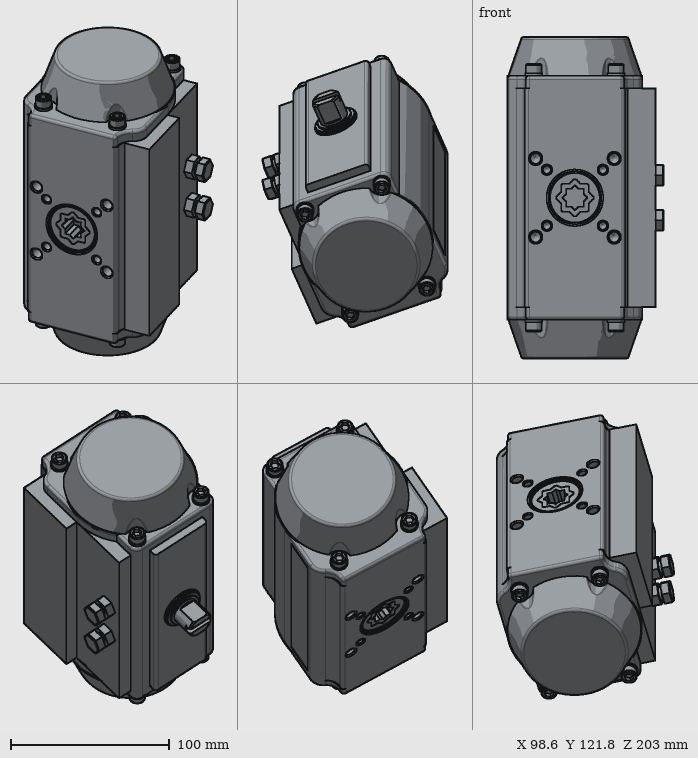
import cadquery as cq
import math


length = 203.0
depth_with_stem = 121.8
cover_face_z = 77.0
extrusion_end_z = 69.0

barrel_radius = 42.6
bore_radius = 37.4
back_y = 45.7
front_y = -51.4
shoulder_half_width = 33.0
shoulder_fillet = 5.5
foot_half_width = 31.7
foot_fillet = 2.2
cover_inset = 0.6
cheek_start_y = -30.7
cheek_radius = 10.0
waist_radius = 9.1

cover_edge_fillet = 2.0
dome_skirt_gap = 0.05
dome_skirt_radius = barrel_radius - dome_skirt_gap
dome_base_radius = 42.0
dome_top_radius = 33.5
dome_edge_fillet = 2.0
pocket_radius = 8.5
pocket_edge_fillet = 0.8

screw_x = 26.0
screw_y = 38.8
washer_diameter = 11.0
washer_height = 1.6
screw_head_diameter = 10.0
screw_head_top_z = 84.5
screw_rim_chamfer = 0.8
screw_socket_flats = 5.0
screw_socket_depth = 3.0

pad_half_width = 21.3
pad_face_y = 51.2
pad_fillet = 2.2
collar_steps = ((14.0, 1.2), (13.2, 1.2), (11.2, 1.2))
stem_diameter = 18.0
stem_end_y = front_y + depth_with_stem
stem_flats = 14.2
stem_flats_start_y = 56.5
stem_chamfer = 1.0
stem_slot_width = 4.0
stem_slot_depth = 4.5

recess_steps = ((17.9, 0.6), (16.6, 1.2), (15.6, 1.8))
insert_square = 17.5
insert_tip_radius = 11.8
insert_mark_depth = 0.2
socket_square = 11.2

mounting_holes = ((24.8, 6.7, 8.5, 12.2), (17.7, 5.0, 6.7, 10.2))
drill_tip_half_angle = 59.0

block_inner_x = 33.5
block_step_x = 42.6
block_outer_x = 51.0
block_top_y = 41.0
block_step_y = -1.2
block_bottom_y = -43.6
fitting_y = 29.6
fitting_z = 14.2
fitting_flats = 13.0
fitting_neck_diameter = 8.1
fitting_chamfer = 0.6
fitting_nut_end_x = 48.1
fitting_head_start_x = 50.3
fitting_end_x = 56.0

label_depth = 0.2
label_front_y = -27.8
label_back_y = -8.1

half_length = length / 2


def body_section(inset):
    """Closed cross-section; inset narrows the foot."""
    shoulder = shoulder_half_width
    foot = foot_half_width - inset
    waist = waist_radius + inset
    shoulder_end_y = math.sqrt(barrel_radius**2 - shoulder**2)
    half_angle = math.atan2(shoulder_end_y, shoulder) / 2
    barrel_mid = (barrel_radius * math.cos(half_angle), barrel_radius * math.sin(half_angle))

    cheek_x = barrel_radius - cheek_radius
    waist_x = foot + waist
    centre_distance = cheek_radius + waist
    lean = math.acos((waist_x - cheek_x) / centre_distance)
    waist_y = cheek_start_y - centre_distance * math.sin(lean)

    def cheek_point(angle):
        return (cheek_x + cheek_radius * math.cos(angle), cheek_start_y - cheek_radius * math.sin(angle))

    def waist_point(angle):
        return (waist_x - waist * math.cos(angle), waist_y + waist * math.sin(angle))

    return (
        cq.Workplane("XY")
        .moveTo(0, back_y)
        .lineTo(shoulder - shoulder_fillet, back_y)
        .radiusArc((shoulder, back_y - shoulder_fillet), shoulder_fillet)
        .lineTo(shoulder, shoulder_end_y)
        .threePointArc(barrel_mid, (barrel_radius, 0))
        .lineTo(barrel_radius, cheek_start_y)
        .threePointArc(cheek_point(lean / 2), cheek_point(lean))
        .threePointArc(waist_point(lean / 2), (foot, waist_y))
        .lineTo(foot, front_y + foot_fillet)
        .radiusArc((foot - foot_fillet, front_y), foot_fillet)
        .lineTo(0, front_y)
        .mirrorY()
    )


def box(x_range, y_range, z_half):
    size = (x_range[1] - x_range[0], y_range[1] - y_range[0], 2 * z_half)
    return cq.Workplane("XY").box(*size, centered=False).translate((x_range[0], y_range[0], -z_half))


def back_cylinder(radius, start_y, end_y):
    return cq.Workplane("XZ", origin=(0, start_y, 0)).circle(radius).extrude(start_y - end_y)


def star(square, depth, start_y):
    """Eight-pointed star prism made of two crossed squares, running along +Y."""
    plane = cq.Workplane("XZ", origin=(0, start_y, 0))
    upright = plane.rect(square, square).extrude(-depth)
    return upright.union(upright.rotate((0, 0, 0), (0, 1, 0), 45))


def make_screw(x, y):
    head_height = screw_head_top_z - cover_face_z
    screw = (
        cq.Workplane("XY", origin=(x, y, cover_face_z))
        .circle(screw_head_diameter / 2)
        .extrude(head_height)
        .faces(">Z")
        .chamfer(screw_rim_chamfer)
        .faces(">Z")
        .workplane()
        .polygon(6, screw_socket_flats, circumscribed=True)
        .cutBlind(-screw_socket_depth)
    )
    washer_base_z = cover_face_z - cover_edge_fillet
    washer = (
        cq.Workplane("XY", origin=(x, y, washer_base_z))
        .circle(washer_diameter / 2)
        .extrude(washer_height + cover_edge_fillet)
    )
    return screw.union(washer)


def make_cover():
    """Top end cover with its dome, screw pockets and screws."""
    plate = (
        body_section(cover_inset)
        .extrude(cover_face_z - extrusion_end_z)
        .translate((0, 0, extrusion_end_z))
        .faces(">Z")
        .edges()
        .fillet(cover_edge_fillet)
    )
    dome = (
        cq.Workplane("XZ")
        .moveTo(0, extrusion_end_z)
        .lineTo(dome_skirt_radius, extrusion_end_z)
        .lineTo(dome_skirt_radius, cover_face_z)
        .lineTo(dome_base_radius, cover_face_z)
        .lineTo(dome_top_radius, half_length)
        .lineTo(0, half_length)
        .close()
        .revolve(360, (0, 0, 0), (0, 1, 0))
        .faces(">Z")
        .edges()
        .fillet(dome_edge_fillet)
    )
    corners = [(sx * screw_x, sy * screw_y) for sx in (-1, 1) for sy in (-1, 1)]
    pockets = (
        cq.Workplane("XY", origin=(0, 0, cover_face_z))
        .pushPoints(corners)
        .circle(pocket_radius)
        .extrude(half_length)
    )
    reach = dome_skirt_radius
    rim_low = (-reach, -reach, cover_face_z + dome_edge_fillet)
    rim_high = (reach, reach, half_length - 2 * dome_edge_fillet)
    pocket_rims = cq.selectors.BoxSelector(rim_low, rim_high)
    rounded_dome = dome.cut(pockets).edges(pocket_rims).fillet(pocket_edge_fillet)
    cover = plate.union(rounded_dome)
    for x, y in corners:
        cover = cover.union(make_screw(x, y))
    return cover


def make_stem():
    stem = back_cylinder(stem_diameter / 2, bore_radius, stem_end_y).faces(">Y").chamfer(stem_chamfer)
    flat_y = (stem_flats_start_y, stem_end_y)
    for side in (0, 180):
        beside_flat = box((-stem_diameter, stem_diameter), flat_y, stem_diameter)
        beside_flat = beside_flat.translate((0, 0, stem_diameter + stem_flats / 2))
        stem = stem.cut(beside_flat.rotate((0, 0, 0), (0, 1, 0), side))
    slot_y = (stem_end_y - stem_slot_depth, stem_end_y)
    stem = stem.cut(box((-stem_diameter, stem_diameter), slot_y, stem_slot_width / 2))
    collar_y = pad_face_y
    for radius, thickness in collar_steps:
        stem = stem.union(back_cylinder(radius, back_y, collar_y + thickness))
        collar_y += thickness
    return stem


def make_block():
    upper = box((0, block_step_x), (block_step_y, block_top_y), extrusion_end_z)
    lower = box((block_inner_x, block_outer_x), (block_bottom_y, block_step_y), extrusion_end_z)
    return upper.union(lower)


def fitting_hexagon(start_x, end_x, z):
    """Hexagonal prism along X with its corners pointing along Y."""
    return (
        cq.Workplane("YZ", origin=(start_x, fitting_y, z))
        .transformed(rotate=(0, 0, 90))
        .polygon(6, fitting_flats, circumscribed=True)
        .extrude(end_x - start_x)
    )


def make_fitting(z):
    nut = fitting_hexagon(block_step_x, fitting_nut_end_x, z)
    head = fitting_hexagon(fitting_head_start_x, fitting_end_x, z).faces(">X").chamfer(fitting_chamfer)
    neck = (
        cq.Workplane("YZ", origin=(block_step_x, fitting_y, z))
        .circle(fitting_neck_diameter / 2)
        .extrude(fitting_head_start_x - block_step_x)
    )
    return nut.union(neck).union(head)


def mounting_hole(x, z, drill, rim, depth):
    """Blind drilled hole with a chamfered rim and a conical tip."""
    radius = drill / 2
    rim_depth = (rim - drill) / 2
    tip = radius / math.tan(math.radians(drill_tip_half_angle))
    return (
        cq.Workplane("XY")
        .lineTo(rim / 2, 0)
        .lineTo(radius, rim_depth)
        .lineTo(radius, depth)
        .lineTo(0, depth + tip)
        .close()
        .revolve(360, (0, 0, 0), (0, 1, 0))
        .translate((x, front_y, z))
    )


body = body_section(0).extrude(2 * extrusion_end_z).translate((0, 0, -extrusion_end_z))
pad = box((-pad_half_width, pad_half_width), (0, pad_face_y), extrusion_end_z)
body = body.union(pad.edges("|Z and >Y").fillet(pad_fillet))
body = body.union(make_block())
body = body.cut(
    cq.Workplane("XY").circle(bore_radius).extrude(2 * extrusion_end_z).translate((0, 0, -extrusion_end_z))
)
body = body.union(make_stem())

for fitting_side in (-1, 1):
    body = body.union(make_fitting(fitting_side * fitting_z))

socket_face_y = front_y
for radius, depth in recess_steps:
    body = body.cut(back_cylinder(radius, front_y, front_y + depth))
    socket_face_y = front_y + depth
insert_end_y = socket_face_y + insert_mark_depth
insert_limit = back_cylinder(insert_tip_radius, socket_face_y, insert_end_y)
body = body.cut(star(insert_square, insert_mark_depth, socket_face_y).intersect(insert_limit))
body = body.cut(star(socket_square, -front_y, front_y))
for offset, drill, rim, depth in mounting_holes:
    for x_side in (-1, 1):
        for z_side in (-1, 1):
            body = body.cut(mounting_hole(x_side * offset, z_side * offset, drill, rim, depth))

body = body.cut(
    box((-barrel_radius, -barrel_radius + label_depth), (label_front_y, label_back_y), extrusion_end_z)
)

top_cover = make_cover()
result = body.union(top_cover).union(top_cover.mirror("XY"))